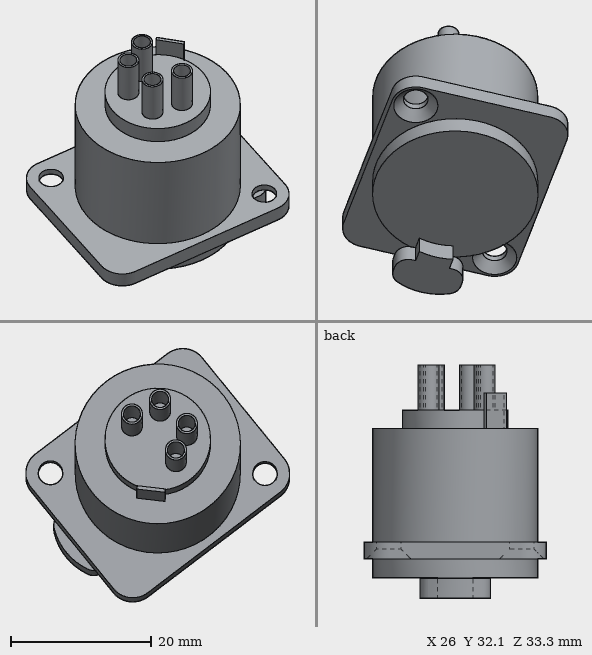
import cadquery as cq
import math

latch_top = 2.83
body_bottom = 2.93
flange_bottom = 5.63
flange_thickness = 2.4
body_top = 24.25
boss_top = 26.85
blade_top = 29.3
pin_top = 33.3

body_radius = 11.8
boss_radius = 7.53
flange_width = 26.0
flange_length = 31.0
flange_corner_radius = 3.5
screw_hole_diameter = 3.5
countersink_depth = 1.4
countersink_angle = 90
screw_hole_x = 9.5
screw_hole_y = 12.0

pin_radius = 1.5
pin_bore_radius = 1.2
pin_centers = [(-4.2, 0), (-2.1, -3.63), (3.05, -2.83), (3.83, 1.65)]

blade_length = 4.05
blade_thickness = 0.5
blade_distance = 8.05
blade_angle = 135

latch_half_width = 5.03
latch_outer_y = flange_length / 2 + 1.13
latch_inner_y = 11.2
latch_outer_radius = 9.05
latch_corner_radius = 2.03
neck_width = 5.03
neck_inner_radius = 9.72


def cylinder(radius, bottom, top):
    return cq.Workplane("XY").workplane(offset=bottom).circle(radius).extrude(top - bottom)


def make_flange():
    countersink_growth = 2 * countersink_depth * math.tan(math.radians(countersink_angle / 2))
    countersink_diameter = screw_hole_diameter + countersink_growth
    screw_holes = [(screw_hole_x, -screw_hole_y), (-screw_hole_x, screw_hole_y)]
    return (
        cq.Workplane("XY")
        .workplane(offset=flange_bottom)
        .rect(flange_width, flange_length)
        .extrude(flange_thickness)
        .edges("|Z")
        .fillet(flange_corner_radius)
        .faces("<Z")
        .workplane(origin=(0, 0, 0))
        .pushPoints(screw_holes)
        .cskHole(screw_hole_diameter, countersink_diameter, countersink_angle)
    )


def make_pins():
    return (
        cq.Workplane("XY")
        .workplane(offset=boss_top)
        .pushPoints(pin_centers)
        .circle(pin_radius)
        .extrude(pin_top - boss_top)
        .faces(">Z")
        .workplane(origin=(0, 0, 0))
        .pushPoints(pin_centers)
        .circle(pin_bore_radius)
        .cutBlind(boss_top - pin_top)
    )


def make_blade():
    return (
        cq.Workplane("XY")
        .workplane(offset=body_top)
        .center(blade_distance, 0)
        .rect(blade_thickness, blade_length)
        .extrude(blade_top - body_top)
        .rotate((0, 0, 0), (0, 0, 1), blade_angle)
    )


def make_latch():
    arc_center_y = latch_outer_y - latch_outer_radius
    shoulder_y = arc_center_y + math.sqrt(latch_outer_radius**2 - latch_half_width**2)
    head = (
        cq.Workplane("XY")
        .moveTo(-latch_half_width, latch_inner_y)
        .lineTo(latch_half_width, latch_inner_y)
        .lineTo(latch_half_width, shoulder_y)
        .threePointArc((0, latch_outer_y), (-latch_half_width, shoulder_y))
        .close()
        .extrude(latch_top)
        .edges("|Z")
        .fillet(latch_corner_radius)
    )
    neck = (
        cq.Workplane("XY")
        .rect(neck_width, latch_inner_y)
        .extrude(body_bottom)
        .translate((0, latch_inner_y / 2, 0))
        .cut(cylinder(neck_inner_radius, 0, body_bottom))
    )
    return head.union(neck)


body = cylinder(body_radius, body_bottom, body_top)
boss = cylinder(boss_radius, body_top, boss_top)

result = body.union(boss)
for feature in (make_flange(), make_pins(), make_blade(), make_latch()):
    result = result.union(feature)